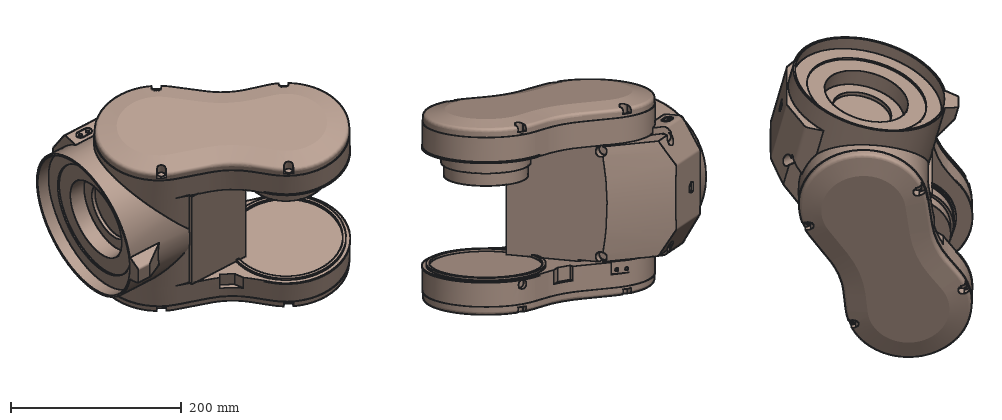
import cadquery as cq
import math


shoulder_radius = 76.0
wrist_radius = 74.5
wrist_x = 84.0
wrist_y = 123.2
shoulder_flank = math.radians(13.2)
wrist_flank = math.radians(15)
waist_radius = 100.7
arm_inner_z = 71.5
overall_height = 236.0
arm_outer_z = overall_height / 2
seam_z = 102.5
wrist_lip = 0.5
lip_height = 1.8
cover_inset = 0.5
bevel_width = 26.7
bevel_height = 5.5
rim_round = 4.5
arm_length = math.hypot(wrist_x, wrist_y)
arm_angle = math.degrees(math.atan2(wrist_y, wrist_x))

cover_screw_radius = 5.0
cover_screw_offset = 67.8
cover_screw_floor_z = 103.0
cover_notch_width = 11.3
cover_notch_floor_z = 106.0

wrist_steps = [(56.0, 70.2), (53.5, 67.5), (52.7, 53.3), (49.5, 37.3)]
lower_disc_radius = 70.2
lower_disc_z = 68.7
lower_dish_radius = 66.4
lower_dish_depth = 3.0

side_cut_floor_z = 88.5
side_cut_start_u = 68.7
side_cut_floor_end_u = 86.5
side_cut_end_u = 106.5
side_cut_floor_v = 57.0
side_cut_top_v = 70.5
side_screw_radius = 5.5
side_screw_depth = 6.0
side_screw_z = 78.5
plate_length = 27.8
plate_height = 14.8
plate_depth = 2.5
plate_u = 7.5
plate_hole_radius = 2.0
plate_hole_depth = 3.0
plate_hole_spacing = 12.5
plate_hole_z = 81.5

barrel_x = -16.0
barrel_radius = 92.5
barrel_front_y = -97.7
barrel_back_y = -11.8

recess_steps = [(90.0, 15.5), (72.0, 17.8), (50.5, 38.0), (35.2, 42.7)]

block_left_x = -110.2
block_shoulder_x = -87.5
block_half_flat = 38.8
block_half_height = 78.0
block_front_y = -72.5
block_back_y = 67.5
block_corner_round = 6.0
body_right_x = 80.0
slope_start_y = 8.5
slope_angle = math.radians(42.8)
slope_crown_radius = 474.0

seat_radius = 6.2
run_in = 17.8
seat_angle = -41.5
seat_middle_y = -44.5
seat_middle_depth = 3.3
seat_corner_x = -95.0
seat_corner_y = -13.0
seat_corner_z = 64.5
seat_corner_depth = 10.0
notch_floor_z = 69.5
back_screw_x = -38.5
back_screw_z = 63.7
back_screw_depth = 11.8

pad_x = -76.7
pad_y = -52.0
pad_length = 20.7
pad_width = 10.0
pad_depth = 1.0
pad_hole_radius = 2.0
pad_hole_depth = 3.5
pad_hole_spacing = 10.5

tab_tip_x = 91.0
tab_root_x = 73.5
tab_root_half = 18.5
tab_tip_half = 11.3
tab_round = 3.0
tab_back_y = -53.3
tab_slope_front_y = -81.2


def arm_plane(z):
    """Workplane at height z whose local x runs along the arm from shoulder to wrist."""
    return cq.Workplane("XY").transformed(offset=(0, 0, z), rotate=(0, 0, arm_angle))


def arm_outline(inset, z):
    """Waisted two-lobe outline, shrunk by inset, at height z."""
    shoulder = shoulder_radius - inset
    wrist = wrist_radius - inset
    waist = waist_radius + inset
    shoulder_reach = shoulder + waist
    wrist_reach = wrist + waist
    s1, c1 = math.sin(shoulder_flank), math.cos(shoulder_flank)
    s2, c2 = math.sin(wrist_flank), math.cos(wrist_flank)
    flank_sum = shoulder_flank + wrist_flank
    waist_u = (shoulder_reach * c2 - wrist_reach * c1 + arm_length * s2 * c1) / math.sin(flank_sum)
    waist_v = (shoulder_reach - waist_u * s1) / c1
    mid = (wrist_flank - shoulder_flank) / 2

    def side(sign):
        return [
            (shoulder * s1, sign * shoulder * c1),
            (waist_u - waist * s1, sign * (waist_v - waist * c1)),
            (waist_u + waist * math.sin(mid), sign * (waist_v - waist * math.cos(mid))),
            (waist_u + waist * s2, sign * (waist_v - waist * c2)),
            (arm_length - wrist * s2, sign * wrist * c2),
        ]

    left = side(1)
    right = side(-1)
    return (
        arm_plane(z).moveTo(*left[0]).lineTo(*left[1])
        .threePointArc(left[2], left[3]).lineTo(*left[4])
        .threePointArc((arm_length + wrist, 0), right[4]).lineTo(*right[3])
        .threePointArc(right[2], right[1]).lineTo(*right[0])
        .threePointArc((-shoulder, 0), left[0]).close()
    )


def disc(x, y, radius, start_z, end_z):
    return cq.Workplane("XY", origin=(x, y, start_z)).circle(radius).extrude(end_z - start_z)


def make_arm():
    """Upper arm shell with its bevelled cover and the four cover screw holes."""
    lip = disc(wrist_x, wrist_y, wrist_radius + wrist_lip, arm_inner_z, arm_inner_z + lip_height)
    wall = arm_outline(0, arm_inner_z).extrude(seam_z - arm_inner_z)
    rim_z = arm_outer_z - bevel_height
    cover = arm_outline(cover_inset, seam_z).extrude(rim_z - seam_z)
    rim = arm_outline(cover_inset, rim_z).wire().val()
    crest = arm_outline(bevel_width, arm_outer_z).wire().val()
    cover = cover.union(cq.Workplane(cq.Solid.makeLoft([rim, crest], True)))
    reach = arm_length + wrist_radius
    slack = bevel_height / 10
    rim_box = cq.selectors.BoxSelector((-reach, -reach, rim_z - slack), (reach, reach, rim_z + slack))
    cover = cover.edges(rim_box).fillet(rim_round)
    arm = lip.union(wall).union(cover)
    for u in (0, arm_length):
        for side in (-1, 1):
            arm = cut_cover_screw(arm, u, side)
    return arm


def cut_cover_screw(arm, u, side):
    """Screw hole near the cover rim, with a notch opening it to the side wall."""
    hole = (
        arm_plane(cover_screw_floor_z).center(u, side * cover_screw_offset)
        .circle(cover_screw_radius).extrude(arm_outer_z - cover_screw_floor_z)
    )
    notch_length = shoulder_radius - cover_screw_offset
    notch = (
        arm_plane(cover_notch_floor_z).center(u, side * (cover_screw_offset + notch_length / 2))
        .rect(cover_notch_width, notch_length).extrude(arm_outer_z - cover_notch_floor_z)
    )
    return arm.cut(hole).cut(notch)


def add_wrist_spigot(arm):
    for radius, end_z in wrist_steps:
        arm = arm.union(disc(wrist_x, wrist_y, radius, end_z, arm_inner_z + lip_height))
    return arm


def side_plane(u, v, flank_tilt, z):
    """Workplane on the arm's +v wall at (u, v), facing outwards; local x runs along the wall."""
    along = math.radians(arm_angle) - flank_tilt
    base = math.radians(arm_angle)
    x = u * math.cos(base) - v * math.sin(base)
    y = u * math.sin(base) + v * math.cos(base)
    normal = (-math.sin(along), math.cos(along), 0)
    return cq.Workplane(cq.Plane((x, y, z), (math.cos(along), math.sin(along), 0), normal))


def detail_lower_arm(arm):
    """Wrist disc, two waist cuts, a side screw hole and a two-hole plate seat."""
    arm = arm.union(disc(wrist_x, wrist_y, lower_disc_radius, -lower_disc_z, -arm_inner_z - lip_height))
    dish_z = -lower_disc_z - lower_dish_depth
    arm = arm.cut(disc(wrist_x, wrist_y, lower_dish_radius, dish_z, -lower_disc_z))

    for side in (-1, 1):
        waist_cut = (
            arm_plane(-side_cut_floor_z)
            .polyline([
                (side_cut_start_u, side * side_cut_top_v),
                (side_cut_start_u, side * side_cut_floor_v),
                (side_cut_floor_end_u, side * side_cut_floor_v),
                (side_cut_end_u, side * side_cut_top_v),
            ]).close().extrude(side_cut_floor_z - arm_inner_z)
        )
        arm = arm.cut(waist_cut)
    side_screw = (
        side_plane(arm_length, wrist_radius, 0, -side_screw_z)
        .circle(side_screw_radius).extrude(-side_screw_depth)
    )

    plate_v = (shoulder_radius - plate_u * math.sin(shoulder_flank)) / math.cos(shoulder_flank)
    plate_z = -arm_inner_z - plate_height / 2
    plate = (
        side_plane(plate_u, plate_v, shoulder_flank, plate_z)
        .rect(plate_length, plate_height).extrude(-plate_depth)
    )
    plate_holes = (
        side_plane(plate_u, plate_v, shoulder_flank, -plate_hole_z).rarray(plate_hole_spacing, 3, 2, 1)
        .circle(plate_hole_radius).extrude(-plate_depth - plate_hole_depth)
    )
    return arm.cut(side_screw).cut(plate).cut(plate_holes)


def make_block():
    """Bevelled block with the neck and shoulder core, trimmed by a gently crowned slope."""
    length = block_back_y - block_front_y
    block = (
        cq.Workplane("XZ", origin=(0, block_front_y, 0))
        .polyline([
            (barrel_x, block_half_height),
            (block_shoulder_x, block_half_height),
            (block_left_x, block_half_flat),
            (block_left_x, -block_half_flat),
            (block_shoulder_x, -block_half_height),
            (barrel_x, -block_half_height),
        ]).close().extrude(-length)
        .edges("|Y").edges("not >X").fillet(block_corner_round)
    )
    neck_length = block_back_y - barrel_back_y
    neck = (
        cq.Workplane("XY", origin=(0, 0, -arm_inner_z))
        .rect(body_right_x - barrel_x, neck_length)
        .extrude(2 * arm_inner_z)
        .translate(((body_right_x + barrel_x) / 2, (block_back_y + barrel_back_y) / 2, 0))
    )
    slope_along = (math.cos(slope_angle), math.sin(slope_angle), 0)
    crown_x = block_left_x + slope_crown_radius * math.sin(slope_angle)
    crown_y = slope_start_y - slope_crown_radius * math.cos(slope_angle)
    crown_length = 2 * slope_crown_radius
    crown = (
        cq.Workplane(cq.Plane((crown_x, crown_y, 0), (0, 0, 1), slope_along))
        .circle(slope_crown_radius).extrude(crown_length, both=True)
    )
    shoulder = disc(0, 0, shoulder_radius, -arm_inner_z, arm_inner_z)
    behind = (
        cq.Workplane("XZ", origin=(0, block_back_y, 0))
        .rect(2 * shoulder_radius, 2 * arm_inner_z).extrude(-shoulder_radius)
    )
    return block.union(neck).union(shoulder.cut(behind)).intersect(crown)


def seat_plane(x, y, z):
    """Workplane across a body screw, facing the way the screw points."""
    angle = math.radians(seat_angle)
    return cq.Workplane(cq.Plane((x, y, z), (0, 0, 1), (math.cos(angle), math.sin(angle), 0)))


def cut_body_screws(block):
    """Tilted screw holes in the bevelled faces, with the corner notches above them."""
    middle = seat_plane(block_left_x, seat_middle_y, 0).workplane(offset=-run_in)
    block = block.cut(middle.circle(seat_radius).extrude(run_in + seat_middle_depth))
    notch_height = block_half_height - notch_floor_z
    notch_size = 2 * (block_back_y - block_front_y)
    for side in (-1, 1):
        corner = seat_plane(seat_corner_x, seat_corner_y, side * seat_corner_z)
        hole = corner.workplane(offset=-run_in).circle(seat_radius).extrude(run_in + seat_corner_depth)
        notch_z = side * (notch_floor_z + notch_height / 2)
        notch = (
            seat_plane(seat_corner_x, seat_corner_y, notch_z).workplane(offset=seat_corner_depth)
            .rect(notch_height, notch_size).extrude(-notch_size)
        )
        back_hole = (
            cq.Workplane("XZ", origin=(back_screw_x, block_back_y, side * back_screw_z))
            .circle(seat_radius).extrude(back_screw_depth)
        )
        block = block.cut(hole).cut(notch).cut(back_hole)
    return block


def cut_connector_pad(block):
    pad = cq.Workplane("XY", origin=(pad_x, pad_y, block_half_height))
    block = block.cut(pad.slot2D(pad_length, pad_width, 90).extrude(-pad_depth))
    holes = pad.rarray(3, pad_hole_spacing, 1, 2).circle(pad_hole_radius)
    return block.cut(holes.extrude(-pad_depth - pad_hole_depth))


def make_barrel():
    front = cq.Workplane("XZ", origin=(barrel_x, barrel_front_y, 0))
    return front.circle(barrel_radius).extrude(barrel_front_y - barrel_back_y)


def make_tab():
    """Tapered tab on the barrel's side with a sloping back."""
    outline = (
        cq.Workplane("XZ", origin=(0, barrel_front_y, 0))
        .polyline([
            (barrel_x, tab_root_half),
            (tab_root_x, tab_root_half),
            (tab_tip_x, tab_tip_half),
            (tab_tip_x, -tab_tip_half),
            (tab_root_x, -tab_root_half),
            (barrel_x, -tab_root_half),
        ]).close().extrude(barrel_front_y - tab_back_y)
        .edges("|Y and >X").fillet(tab_round)
    )
    slope = (
        cq.Workplane("XY", origin=(0, 0, -tab_root_half))
        .polyline([
            (tab_root_x, tab_back_y),
            (tab_tip_x, tab_slope_front_y),
            (tab_tip_x, tab_back_y),
        ]).close().extrude(2 * tab_root_half)
    )
    return outline.cut(slope)


def cut_barrel_mouth(body):
    for radius, depth in recess_steps:
        front = cq.Workplane("XZ", origin=(barrel_x, barrel_front_y, 0))
        body = body.cut(front.circle(radius).extrude(-depth))
    return body


upper_arm = make_arm()
lower_arm = detail_lower_arm(upper_arm.mirror("XY"))
upper_arm = add_wrist_spigot(upper_arm)

block = cut_connector_pad(cut_body_screws(make_block()))
body = block.union(make_barrel()).union(make_tab())
body = cut_barrel_mouth(body)

result = body.union(upper_arm).union(lower_arm)